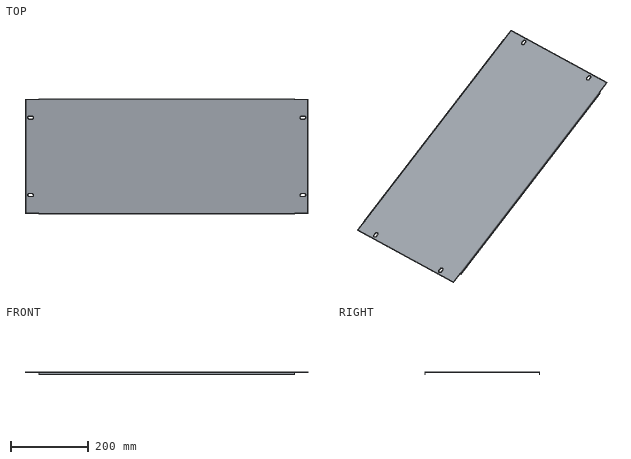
import cadquery as cq

overall_length = 730.0
overall_width = 297.0
overall_height = 6.5
sheet_thickness = 1.0

flange_length = 661.5
inner_bend_radius = 0.1
outer_bend_radius = inner_bend_radius + sheet_thickness

panel_width = overall_width - 2 * outer_bend_radius

slot_length = 14.5
slot_width = 7.0
slot_spacing_x = 704.0
slot_spacing_y = 200.0


def make_panel():
    """Flat sheet with its underside at Z = 0."""
    return cq.Workplane("XY").box(
        overall_length, panel_width, sheet_thickness, centered=(True, True, False)
    )


def make_folded_channel():
    """Middle stretch of the sheet: a shallow channel with rounded bends, open downward."""
    bottom_z = sheet_thickness - overall_height
    channel = cq.Workplane("XY", origin=(0, 0, bottom_z)).box(
        flange_length, overall_width, overall_height, centered=(True, True, False)
    )
    channel = channel.edges("|X and >Z").fillet(outer_bend_radius)
    hollow = cq.Workplane("XY", origin=(0, 0, bottom_z)).box(
        flange_length,
        overall_width - 2 * sheet_thickness,
        overall_height - sheet_thickness,
        centered=(True, True, False),
    )
    hollow = hollow.edges("|X and >Z").fillet(inner_bend_radius)
    return channel.cut(hollow)


def make_slots():
    """Four round-ended cutters running along X."""
    return (
        cq.Workplane("XY")
        .rarray(slot_spacing_x, slot_spacing_y, 2, 2)
        .slot2D(slot_length, slot_width)
        .extrude(sheet_thickness)
    )


result = make_folded_channel().union(make_panel()).cut(make_slots())